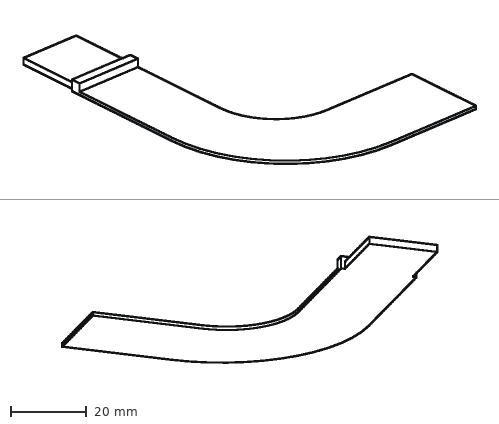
import cadquery as cq

total_length = 100.0
total_width = 71.5

tongue_length = 20.0
tongue_width = 19.0
tongue_thickness = 2.0

collar_length = 3.0
collar_width = 21.0
collar_height = 3.5

strip_thickness = 1.0
end_leg_width = 25.0
inner_radius = 20.0
outer_radius = 41.0

strip_start = tongue_length + collar_length
inner_edge = total_length - end_leg_width


def block(x_start, length, width, height):
    """Block on the base plane, centred across the collar width."""
    return (
        cq.Workplane("XY")
        .box(length, width, height, centered=(False, True, False))
        .translate((x_start, collar_width / 2, 0))
    )


def bent_strip():
    """L-shaped strip with a tangent arc on each side of the bend."""
    return (
        cq.Workplane("XY")
        .moveTo(strip_start, 0)
        .lineTo(total_length - outer_radius, 0)
        .radiusArc((total_length, outer_radius), -outer_radius)
        .lineTo(total_length, total_width)
        .lineTo(inner_edge, total_width)
        .lineTo(inner_edge, collar_width + inner_radius)
        .radiusArc((inner_edge - inner_radius, collar_width), inner_radius)
        .lineTo(strip_start, collar_width)
        .close()
        .extrude(strip_thickness)
    )


tongue = block(0, tongue_length, tongue_width, tongue_thickness)
collar = block(tongue_length, collar_length, collar_width, collar_height)

result = tongue.union(collar).union(bent_strip())